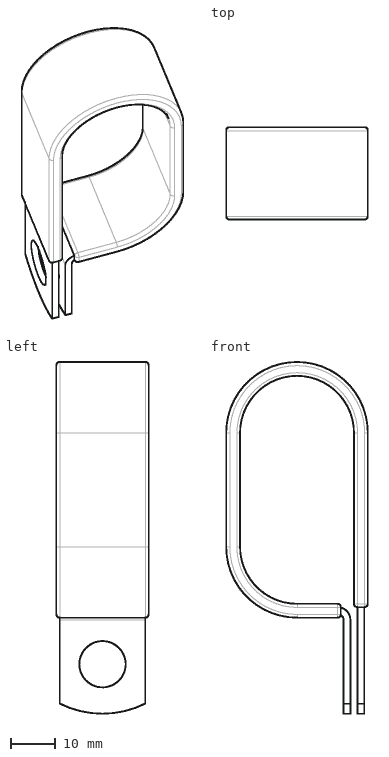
import cadquery as cq
import math

DIAGONAL = math.sqrt(0.5)

total_height = 78.5
loop_width = 31.6
sleeve_depth = 20.65
strap_thickness = 1.6
cover = 0.8
loop_straight = 25.4

sleeve_end_x = 9.8
sleeve_end_z = 23.8
bent_tab_outer_x = 11.9
bend_inner_radius = 1.25

hole_diameter = 10.3
hole_height = 11.1
tab_tip_rise = 2.3

strap_depth = sleeve_depth - 2 * cover
sleeve_thickness = strap_thickness + 2 * cover
outer_radius = loop_width / 2
upper_center_z = total_height - outer_radius
lower_center_z = upper_center_z - loop_straight
bend_outer_radius = bend_inner_radius + strap_thickness
bend_center_x = bent_tab_outer_x - bend_outer_radius
strap_radius = outer_radius - cover
bend_center_z = lower_center_z - strap_radius - bend_inner_radius


def loop_band(outer, thickness, right_end_z, foot_end_x):
    """Closed XZ outline of the loop wall, with a gap at the lower right corner."""
    inner = outer - thickness
    return (
        cq.Workplane("XZ")
        .moveTo(outer, right_end_z)
        .lineTo(outer, upper_center_z)
        .threePointArc((0, upper_center_z + outer), (-outer, upper_center_z))
        .lineTo(-outer, lower_center_z)
        .threePointArc(
            (-outer * DIAGONAL, lower_center_z - outer * DIAGONAL),
            (0, lower_center_z - outer),
        )
        .lineTo(foot_end_x, lower_center_z - outer)
        .lineTo(foot_end_x, lower_center_z - inner)
        .lineTo(0, lower_center_z - inner)
        .threePointArc(
            (-inner * DIAGONAL, lower_center_z - inner * DIAGONAL),
            (-inner, lower_center_z),
        )
        .lineTo(-inner, upper_center_z)
        .threePointArc((0, upper_center_z + inner), (inner, upper_center_z))
        .lineTo(inner, right_end_z)
        .close()
    )


def make_sleeve():
    """Cushion sleeve, rounded along both rims and around both ends."""
    band = loop_band(outer_radius, sleeve_thickness, sleeve_end_z, sleeve_end_x)
    sleeve = band.extrude(sleeve_depth / 2, both=True)
    right_end_edges = sleeve.edges("|Y").edges(cq.selectors.BoxSelector(
        (0, -sleeve_depth, sleeve_end_z - cover / 2),
        (loop_width, sleeve_depth, sleeve_end_z + cover / 2),
    ))
    foot_end_edges = sleeve.edges("|Y").edges(cq.selectors.BoxSelector(
        (sleeve_end_x - cover / 2, -sleeve_depth, 0),
        (sleeve_end_x + cover / 2, sleeve_depth, lower_center_z),
    ))
    rim_edges = sleeve.faces("|Y").edges()
    return rim_edges.add(right_end_edges).add(foot_end_edges).fillet(cover)


def make_strap():
    """Metal strap: straight right leg and a foot bent down into a second tab."""
    loop = loop_band(strap_radius, strap_thickness, 0, bend_center_x)
    bent_tab_inner_x = bent_tab_outer_x - strap_thickness
    bend = (
        cq.Workplane("XZ")
        .moveTo(bend_center_x, bend_center_z + bend_outer_radius)
        .threePointArc(
            (
                bend_center_x + bend_outer_radius * DIAGONAL,
                bend_center_z + bend_outer_radius * DIAGONAL,
            ),
            (bent_tab_outer_x, bend_center_z),
        )
        .lineTo(bent_tab_outer_x, 0)
        .lineTo(bent_tab_inner_x, 0)
        .lineTo(bent_tab_inner_x, bend_center_z)
        .threePointArc(
            (
                bend_center_x + bend_inner_radius * DIAGONAL,
                bend_center_z + bend_inner_radius * DIAGONAL,
            ),
            (bend_center_x, bend_center_z + bend_inner_radius),
        )
        .close()
    )
    half_depth = strap_depth / 2
    return loop.extrude(half_depth, both=True).union(bend.extrude(half_depth, both=True))


def make_tab_envelope():
    """Side silhouette of the strap: rounded lower tip and a bolt hole."""
    half_depth = strap_depth / 2
    return (
        cq.Workplane("YZ")
        .moveTo(-half_depth, tab_tip_rise)
        .threePointArc((0, 0), (half_depth, tab_tip_rise))
        .lineTo(half_depth, total_height)
        .lineTo(-half_depth, total_height)
        .close()
        .moveTo(0, hole_height)
        .circle(hole_diameter / 2)
        .extrude(loop_width / 2, both=True)
    )


strap = make_strap().intersect(make_tab_envelope())
result = make_sleeve().union(strap)